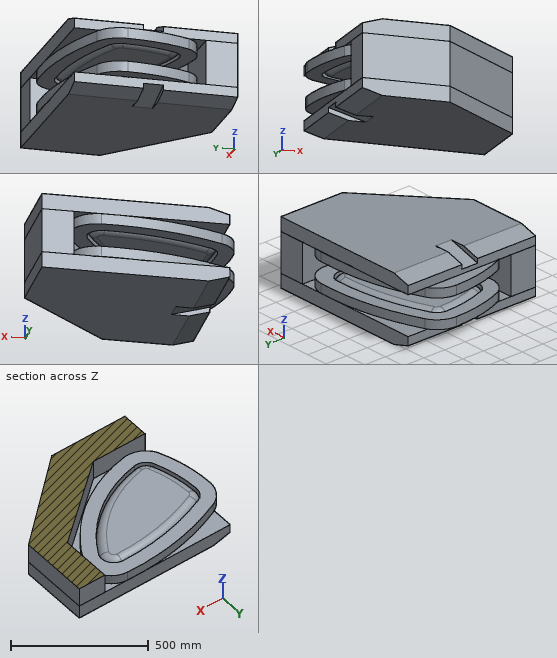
import cadquery as cq

block_left = 54.0
block_right = 754.0
block_depth = 620.0
total_height = 290.0
cheek_thickness = 60.0
spacer_height = total_height - 2 * cheek_thickness
front_edge_length = 340.0
slant_end_y = 320.0

wall = 120.0
pocket_right = block_right - wall
pocket_slant_start_x = 294.0
pocket_slant_end_y = 400.0

bevel_length = 78.0
bevel_depth = 23.0
notch_length = 144.0
notch_depth = 41.5
notch_width = 75.5
notch_center_y = 320.0

jaw_thickness = 40.0
jaw_clearance = 1.0
jaw_left_low = (53.0, 185.5)
jaw_left_middle = (13.0, 309.0)
jaw_left_tip = (0.0, 433.0)
jaw_left_high = (63.0, 531.0)
jaw_back_tip = (532.0, 621.0)
jaw_right = (618.5, 475.0)
jaw_front = (166.0, 134.0)
opening_inset = 59.0
opening_corner_radius = 56.5
pad_rise = 4.5
pad_rounding = 38.0


def block_outline():
    """Five-sided outline shared by the cheeks and the spacer."""
    return cq.Workplane("XY").polyline([
        (block_left, 0),
        (block_left + front_edge_length, 0),
        (block_right, slant_end_y),
        (block_right, block_depth),
        (block_left, block_depth),
    ]).close()


def left_edge_wedge(length, depth, width, center_y):
    """Wedge that slopes the top left edge of the block down to the left."""
    return (
        cq.Workplane("XZ", origin=(0, center_y + width / 2, 0))
        .polyline([
            (block_left, total_height),
            (block_left + length, total_height),
            (block_left, total_height - depth),
        ])
        .close()
        .extrude(width)
    )


def mirrored_down(upper):
    """The same body on the lower half of the block."""
    return upper.mirror("XY", (0, 0, total_height / 2))


def make_upper_cheek():
    plate = block_outline().extrude(cheek_thickness).translate((0, 0, total_height - cheek_thickness))
    bevel = left_edge_wedge(bevel_length, bevel_depth, block_depth, block_depth / 2)
    notch = left_edge_wedge(notch_length, notch_depth, notch_width, notch_center_y)
    return plate.cut(bevel).cut(notch)


def make_spacer():
    """Block outline with the pocket that holds the jaws."""
    pocket = (
        cq.Workplane("XY")
        .polyline([
            (block_left, wall),
            (pocket_slant_start_x, wall),
            (pocket_right, pocket_slant_end_y),
            (pocket_right, block_depth),
            (block_left, block_depth),
        ])
        .close()
        .extrude(spacer_height)
    )
    return block_outline().extrude(spacer_height).cut(pocket).translate((0, 0, cheek_thickness))


def jaw_sketch():
    """Closed chain of arcs, each one tangent to the arc before it."""
    return (
        cq.Workplane("XY")
        .moveTo(*jaw_left_low)
        .threePointArc(jaw_left_middle, jaw_left_tip)
        .tangentArcPoint(jaw_left_high, relative=False)
        .tangentArcPoint(jaw_back_tip, relative=False)
        .tangentArcPoint(jaw_right, relative=False)
        .tangentArcPoint(jaw_front, relative=False)
        .tangentArcPoint(jaw_left_low, relative=False)
        .close()
    )


def opening_prism(height):
    """Prism over the opening in a jaw: the jaw outline moved inward, with rounder corners."""
    core = jaw_sketch().offset2D(-opening_inset - opening_corner_radius)
    return core.offset2D(opening_corner_radius).extrude(height)


def make_lower_jaw():
    jaw = jaw_sketch().extrude(jaw_thickness).cut(opening_prism(jaw_thickness))
    return jaw.translate((0, 0, cheek_thickness + jaw_clearance))


def make_lower_pad():
    """Pad filling the opening, with its raised inner rim rounded over."""
    pad = opening_prism(jaw_thickness + pad_rise).faces(">Z").edges().fillet(pad_rounding)
    return pad.translate((0, 0, cheek_thickness + jaw_clearance))


bodies = [make_spacer()]
for body in (make_upper_cheek(), make_lower_jaw(), make_lower_pad()):
    bodies += [body, mirrored_down(body)]

result = cq.Compound.makeCompound([body.val() for body in bodies])